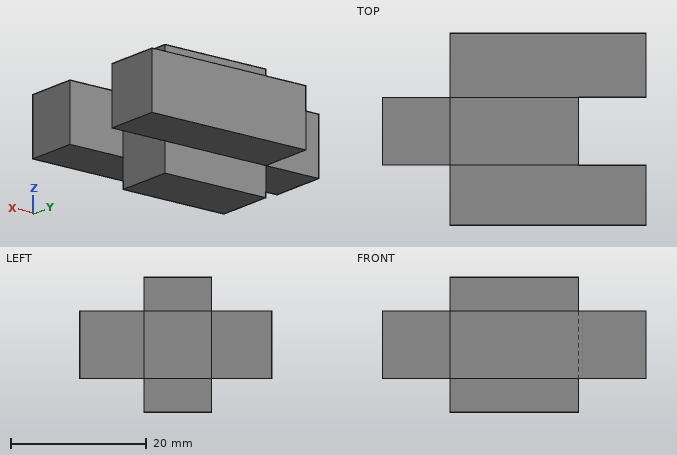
import cadquery as cq

total_length = 39.0
total_width = 28.45
block_height = 20.0
back_rail_width = 9.5

bar_size = block_height / 2
front_rail_width = total_width - bar_size - back_rail_width
block_start = bar_size
block_length = total_length - 2 * bar_size
rail_length = total_length - block_start
core_side = bar_size / 2


def bar(start_x, start_y, length, width, height):
    """A rectangular bar from its low X and Y corner, centred on Z = 0."""
    return (
        cq.Workplane("XY")
        .box(length, width, height, centered=(False, False, True))
        .translate((start_x, start_y, 0))
    )


def make_core():
    """A tall block with a square tongue reaching toward -X."""
    block = bar(block_start, -core_side, block_length, bar_size, block_height)
    tongue = bar(0, -core_side, block_start, bar_size, bar_size)
    return block.union(tongue)


def make_rail(start_y, width):
    """A side rail that lies against the core and runs past its +X end."""
    return bar(block_start, start_y, rail_length, width, bar_size)


core = make_core()
rails = [
    make_rail(start_y, width)
    for start_y, width in (
        (-core_side - front_rail_width, front_rail_width),
        (core_side, back_rail_width),
    )
]

result = cq.Compound.makeCompound([core.val(), *[rail.val() for rail in rails]])